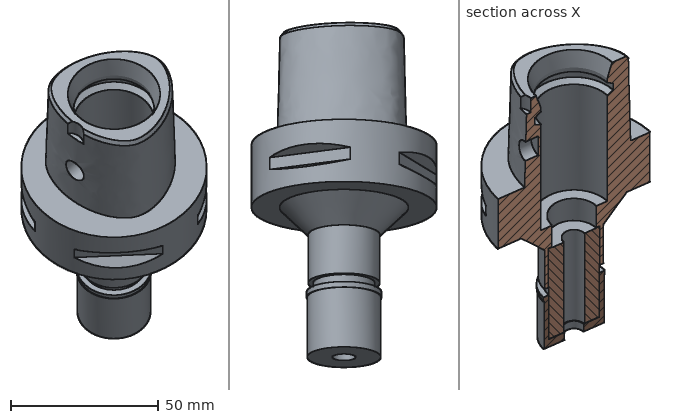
import cadquery as cq
import math

TOTAL_HEIGHT = 113.0
FLANGE_TOP = 75.0
FLANGE_BOTTOM = 53.0
NECK_TOP = 43.3
NECK_BOTTOM = 26.2
NUT_TOP = 23.0
LIP_HEIGHT = 1.9

FLANGE_DIAMETER = 63.0
NECK_DIAMETER = 24.4
CONE_TOP_RADIUS = NECK_DIAMETER / 2 + FLANGE_BOTTOM - NECK_TOP

POLYGON_RADIUS = 22.0
LOBE_RISE = 1.5
LOBES = 3
TAPER = 1 / 40
RIM_HEIGHT = 1.4
RIM_WIDTH = 1.0
OUTLINE_STEPS = 48

MOUTH_RADIUS = 15.7
BORE_RADIUS = 13.7
MOUTH_CONE_DEPTH = 6.2
GROOVE_RADIUS = 16.2
GROOVE_START_DEPTH = 8.0
GROOVE_FULL_DEPTH = 9.6
GROOVE_END_DEPTH = 12.4
GROOVE_RAMP_HEIGHT = 1.1
BORE_FLOOR = FLANGE_BOTTOM
PASSAGE_DIAMETER = 18.3

KEYWAY_RADIUS = 5.1
KEYWAY_DEPTH = 6.2
KEYWAY_INNER_Y = -18.0
SIDE_HOLE_DIAMETER = 8.1
SIDE_HOLE_HEIGHT = 90.6
SIDE_HOLE_FLOOR_Y = -14.9

GRIPPER_COUNT = 4
GRIPPER_FLOOR_DISTANCE = 27.7
GRIPPER_FLOOR_HEIGHT = 4.2
GRIPPER_MOUTH_HEIGHT = 7.9
GRIPPER_CENTER_HEIGHT = 63.0

STEM_DIAMETER = 21.0
STEM_TOP = NECK_TOP
STEM_HOLE_DIAMETER = 8.5
NUT_DIAMETER = 25.1
LIP_DIAMETER = 25.5
NUT_END_THICKNESS = 3.4
NUT_HOLE_DIAMETER = 7.9


def cylinder(diameter, bottom, top):
    """Upright cylinder on the Z axis between two heights."""
    return cq.Workplane("XY").workplane(offset=bottom).circle(diameter / 2).extrude(top - bottom)


def polygon_wire(mean_radius, height):
    """Smooth constant-width outline whose tangent distance varies as a sine with three lobes."""

    def point(t):
        angle = 2 * math.pi * t
        distance = mean_radius - LOBE_RISE * math.sin(LOBES * angle)
        slope = -LOBES * LOBE_RISE * math.cos(LOBES * angle)
        x = distance * math.cos(angle) - slope * math.sin(angle)
        y = distance * math.sin(angle) + slope * math.cos(angle)
        return cq.Vector(x, y, height)

    points = [point(step / OUTLINE_STEPS) for step in range(OUTLINE_STEPS)]
    return cq.Wire.assembleEdges([cq.Edge.makeSpline(points, periodic=True)])


def polygon_shank():
    """Tapered polygon shank with a bevelled top rim."""
    rim_bottom = TOTAL_HEIGHT - RIM_HEIGHT
    rim_radius = POLYGON_RADIUS - (rim_bottom - FLANGE_TOP) * TAPER
    base = polygon_wire(POLYGON_RADIUS, FLANGE_TOP)
    rim = polygon_wire(rim_radius, rim_bottom)
    top = polygon_wire(rim_radius - RIM_WIDTH, TOTAL_HEIGHT)
    shank = cq.Workplane(cq.Solid.makeLoft([base, rim], True))
    return shank.union(cq.Workplane(cq.Solid.makeLoft([rim, top], True)))


def flange_and_neck():
    """Round flange, 45 degree cone and neck as one turned shape."""
    outline = [
        (0, FLANGE_TOP),
        (FLANGE_DIAMETER / 2, FLANGE_TOP),
        (FLANGE_DIAMETER / 2, FLANGE_BOTTOM),
        (CONE_TOP_RADIUS, FLANGE_BOTTOM),
        (NECK_DIAMETER / 2, NECK_TOP),
        (NECK_DIAMETER / 2, NECK_BOTTOM),
        (0, NECK_BOTTOM),
    ]
    return cq.Workplane("XZ").polyline(outline).close().revolve(360, (0, 0), (0, 1))


def holder_bore():
    """Cutter for the conical mouth, the clamping groove and the main bore."""
    outline = [
        (0, TOTAL_HEIGHT),
        (MOUTH_RADIUS, TOTAL_HEIGHT),
        (BORE_RADIUS, TOTAL_HEIGHT - MOUTH_CONE_DEPTH),
        (BORE_RADIUS, TOTAL_HEIGHT - GROOVE_START_DEPTH),
        (GROOVE_RADIUS, TOTAL_HEIGHT - GROOVE_FULL_DEPTH),
        (GROOVE_RADIUS, TOTAL_HEIGHT - GROOVE_END_DEPTH),
        (BORE_RADIUS, TOTAL_HEIGHT - GROOVE_END_DEPTH - GROOVE_RAMP_HEIGHT),
        (BORE_RADIUS, BORE_FLOOR),
        (0, BORE_FLOOR),
    ]
    return cq.Workplane("XZ").polyline(outline).close().revolve(360, (0, 0), (0, 1))


def keyway():
    """Cutter for the round-backed keyway in the top edge of the shank."""
    bottom = TOTAL_HEIGHT - KEYWAY_DEPTH
    center_y = KEYWAY_INNER_Y - KEYWAY_RADIUS
    return cq.Workplane("XY", (0, center_y, bottom)).circle(KEYWAY_RADIUS).extrude(KEYWAY_DEPTH)


def side_hole():
    """Cutter for the blind radial hole, drilled from outside the shank to its flat floor."""
    length = FLANGE_DIAMETER / 2 + SIDE_HOLE_FLOOR_Y
    plane = cq.Workplane("XZ", (0, SIDE_HOLE_FLOOR_Y, SIDE_HOLE_HEIGHT))
    return plane.circle(SIDE_HOLE_DIAMETER / 2).extrude(length)


def gripper_groove(direction):
    """Cutter for one straight flared groove, facing outward at an angle in degrees from +X."""
    outer = FLANGE_DIAMETER / 2
    outline = [
        (GRIPPER_FLOOR_DISTANCE, -GRIPPER_FLOOR_HEIGHT / 2),
        (outer, -GRIPPER_MOUTH_HEIGHT / 2),
        (outer, GRIPPER_MOUTH_HEIGHT / 2),
        (GRIPPER_FLOOR_DISTANCE, GRIPPER_FLOOR_HEIGHT / 2),
    ]
    plane = cq.Workplane("XZ", (0, 0, GRIPPER_CENTER_HEIGHT))
    groove = plane.polyline(outline).close().extrude(FLANGE_DIAMETER / 2, both=True)
    return groove.rotate((0, 0, 0), (0, 0, 1), direction)


def make_holder():
    """Polygon-shank holder with its flange, neck and stem socket."""
    holder = polygon_shank().union(flange_and_neck())
    holder = holder.cut(holder_bore())
    holder = holder.cut(cylinder(PASSAGE_DIAMETER, STEM_TOP, BORE_FLOOR))
    holder = holder.cut(cylinder(STEM_DIAMETER, NECK_BOTTOM, STEM_TOP))
    holder = holder.cut(keyway())
    holder = holder.cut(side_hole())
    spacing = 360 / GRIPPER_COUNT
    for index in range(GRIPPER_COUNT):
        holder = holder.cut(gripper_groove((index + 0.5) * spacing))
    return holder


def make_stem():
    """Hollow stem that sits in the neck and carries the nut."""
    stem = cylinder(STEM_DIAMETER, NUT_END_THICKNESS, STEM_TOP)
    return stem.cut(cylinder(STEM_HOLE_DIAMETER, NUT_END_THICKNESS, STEM_TOP))


def make_nut():
    """Cap nut with a raised lip at its top and a hole through its end wall."""
    nut = cylinder(NUT_DIAMETER, 0, NUT_TOP)
    nut = nut.union(cylinder(LIP_DIAMETER, NUT_TOP - LIP_HEIGHT, NUT_TOP))
    nut = nut.cut(cylinder(STEM_DIAMETER, NUT_END_THICKNESS, NUT_TOP))
    return nut.cut(cylinder(NUT_HOLE_DIAMETER, 0, NUT_END_THICKNESS))


holder = make_holder()
stem = make_stem()
nut = make_nut()

result = cq.Compound.makeCompound([holder.val(), stem.val(), nut.val()])